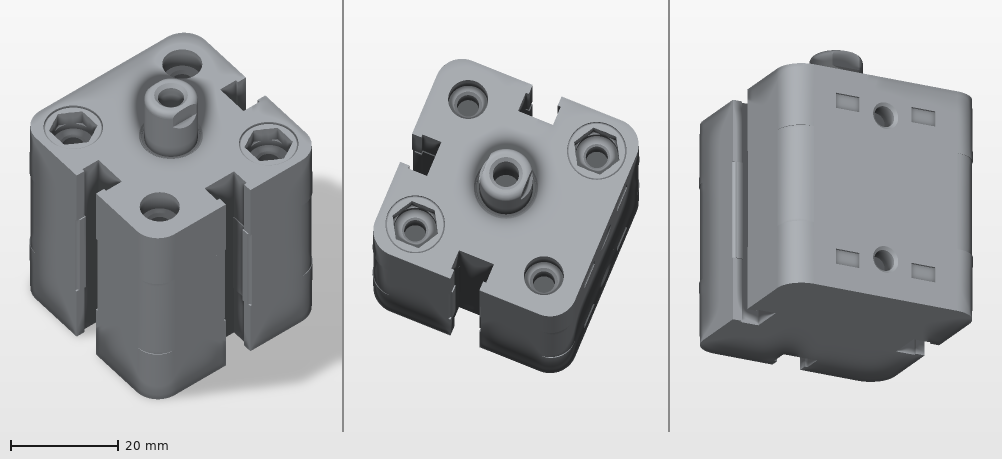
import cadquery as cq
import math


SIDE = 40.3
HALF = SIDE / 2
CORNER = 5.05
CORNER_BULGE = 0.15
CAP_HEIGHT = 12.4
BARREL_HEIGHT = 19.25
TOTAL_HEIGHT = 55.0
JOINT_Z = CAP_HEIGHT + BARREL_HEIGHT
BODY_TOP = JOINT_Z + CAP_HEIGHT

SIDE_SLOTS = (0, 180)
END_SLOT = 90
SLOT_DEPTH = 5.65
CAP_SLOT_MOUTH = 5.85
CAP_SLOT_WIDTH = 7.05
CAP_LIP = 1.85
BARREL_SLOT_MOUTH = 5.4
BARREL_LIP = 2.05
BARREL_SIDE_SLOT_WIDTH = 7.05
BARREL_END_SLOT_WIDTH = 6.6
MOUTH_ROUND = 0.6
FLOOR_ROUND = 0.4

BOLT_OFFSET = 13.0
SCREW_POINTS = [(-BOLT_OFFSET, -BOLT_OFFSET), (BOLT_OFFSET, BOLT_OFFSET)]
MOUNT_POINTS = [(-BOLT_OFFSET, BOLT_OFFSET), (BOLT_OFFSET, -BOLT_OFFSET)]
THREAD_BORE = 4.1
THREAD_DEPTH = 4.4

COLLAR_OUTER = 11.1
COLLAR_INNER = 10.5
COLLAR_SINK = 0.2
HEX_FLATS = 7.9
HEX_DEPTH = 3.3
SOCKET_BORE = 8.05
SOCKET_DEPTH = 4.6
SCREW_THREAD_RIM = 4.9

MOUNT_BORE = 7.5
MOUNT_DEPTH = 4.4
MOUNT_THREAD_RIM = 5.2

PORT_RIM = 5.3
PORT_FROM_END = 7.6
LABEL_FROM_END = 6.4
LABEL_OFFSET = 8.0
LABEL_WIDTH = 5.0
LABEL_HEIGHT = 3.0
LABEL_DEPTH = 0.5

ROD = 10.0
ROD_ROUND = 1.25
ROD_FLATS = 8.25
ROD_FLAT_LENGTH = 3.4
ROD_BORE = 4.9
ROD_BORE_RIM = 6.25
ROD_BORE_DEPTH = 11.0
PASSAGE_RIM = 12.0
PASSAGE_RECESS = 11.4
RECESS_DEPTH = 0.35
WIPER_RIM = 11.1
WIPER_BORE = 10.9
WIPER_DEPTH = 0.15


def section(z, bulge):
    """Rounded square wire at height z whose corners reach out by an extra bulge."""
    straight = HALF - CORNER
    middle = straight + (CORNER + bulge) / math.sqrt(2)
    outline = cq.Workplane("XY").workplane(offset=z).moveTo(-straight, -HALF)
    for sx, sy in ((1, -1), (1, 1), (-1, 1), (-1, -1)):
        on_x_side = (sx * HALF, sy * straight)
        on_y_side = (sx * straight, sy * HALF)
        start, end = (on_y_side, on_x_side) if sx * sy < 0 else (on_x_side, on_y_side)
        outline = outline.lineTo(*start).threePointArc((sx * middle, sy * middle), end)
    return outline.close().val()


def block(z_low, z_high, bulge_low, bulge_high):
    """Ruled block between two rounded square sections."""
    wires = [section(z_low, bulge_low), section(z_high, bulge_high)]
    return cq.Workplane(cq.Solid.makeLoft(wires, True))


def slot_cutter(angle, mouth, width, lip, mouth_round=0.0, floor_round=0.0):
    """Full-height T-slot, drawn on the -Y side and turned about Z by the angle."""
    m = mouth / 2
    w = width / 2
    lip_y = -HALF + lip
    floor_y = -HALF + SLOT_DEPTH
    neck = cq.Workplane("XY").moveTo(-m - mouth_round, -HALF)
    if mouth_round:
        neck = neck.radiusArc((-m, -HALF + mouth_round), mouth_round)
    neck = neck.lineTo(-m, lip_y).lineTo(m, lip_y).lineTo(m, -HALF + mouth_round)
    if mouth_round:
        neck = neck.radiusArc((m + mouth_round, -HALF), mouth_round)
    neck = neck.close().extrude(BODY_TOP)
    room = cq.Workplane("XY").moveTo(0, (lip_y + floor_y) / 2).rect(width, floor_y - lip_y).extrude(BODY_TOP)
    if floor_round:
        room = room.edges("|Z and >Y").fillet(floor_round)
    return neck.union(room).rotate((0, 0, 0), (0, 0, 1), angle)


def cut_cap_slots(cap):
    for angle in (*SIDE_SLOTS, END_SLOT):
        cap = cap.cut(slot_cutter(angle, CAP_SLOT_MOUTH, CAP_SLOT_WIDTH, CAP_LIP))
    return cap


def chamfered_hole(rim, bore, depth):
    """Hole cutter going down from the origin, with a 45 degree chamfer at the rim."""
    chamfer = (rim - bore) / 2
    return (
        cq.Workplane("XZ")
        .polyline([(0, 0), (rim / 2, 0), (bore / 2, -chamfer), (bore / 2, -depth), (0, -depth)])
        .close()
        .revolve(360, (0, 0, 0), (0, 1, 0))
    )


def collar_screw_cutter():
    """Hex socket with threaded hole, and the sunk collar face with its bevelled edge."""
    groove_depth = (COLLAR_OUTER - COLLAR_INNER) / 2
    ring = (
        cq.Workplane("XZ")
        .polyline(
            [
                (0, 0),
                (COLLAR_OUTER / 2, 0),
                (COLLAR_OUTER / 2, -COLLAR_SINK - groove_depth),
                (COLLAR_INNER / 2, -COLLAR_SINK),
                (0, -COLLAR_SINK),
            ]
        )
        .close()
        .revolve(360, (0, 0, 0), (0, 1, 0))
    )
    hex_corners = HEX_FLATS / math.cos(math.pi / 6)
    socket = cq.Workplane("XY").polygon(6, hex_corners).extrude(-HEX_DEPTH)
    bore = cq.Workplane("XY").circle(SOCKET_BORE / 2).extrude(-SOCKET_DEPTH)
    thread = chamfered_hole(SCREW_THREAD_RIM, THREAD_BORE, THREAD_DEPTH)
    return ring.union(socket).union(bore).union(thread.translate((0, 0, -SOCKET_DEPTH)))


def mounting_hole_cutter():
    bore = cq.Workplane("XY").circle(MOUNT_BORE / 2).extrude(-MOUNT_DEPTH)
    thread = chamfered_hole(MOUNT_THREAD_RIM, THREAD_BORE, THREAD_DEPTH)
    return bore.union(thread.translate((0, 0, -MOUNT_DEPTH)))


def cut_port_side(cap, outer_z, inward):
    """Air port and two label recesses; inward is +1 or -1, the direction from outer_z into the cap."""
    port = chamfered_hole(PORT_RIM, THREAD_BORE, THREAD_DEPTH).rotate((0, 0, 0), (0, 1, 0), -90)
    cap = cap.cut(port.translate((-HALF, 0, outer_z + inward * PORT_FROM_END)))
    label_z = outer_z + inward * LABEL_FROM_END
    for y in (-LABEL_OFFSET, LABEL_OFFSET):
        label = cq.Workplane("XY").box(2 * LABEL_DEPTH, LABEL_WIDTH, LABEL_HEIGHT)
        cap = cap.cut(label.translate((-HALF, y, label_z)))
    return cap


def rod_passage_cutter():
    """Rod hole through the front cap, widened at the top by the two chamfered steps of the wiper."""
    rod_hole = cq.Workplane("XY").circle(ROD / 2).extrude(-CAP_HEIGHT)
    recess = chamfered_hole(PASSAGE_RIM, PASSAGE_RECESS, RECESS_DEPTH)
    wiper = chamfered_hole(WIPER_RIM, WIPER_BORE, WIPER_DEPTH).translate((0, 0, -RECESS_DEPTH))
    return recess.union(wiper).union(rod_hole)


def make_front_cap():
    cap = cut_cap_slots(block(JOINT_Z, BODY_TOP, CORNER_BULGE, 0))
    cap = cut_port_side(cap, BODY_TOP, -1)
    for x, y in SCREW_POINTS:
        cap = cap.cut(collar_screw_cutter().translate((x, y, BODY_TOP)))
    for x, y in MOUNT_POINTS:
        cap = cap.cut(mounting_hole_cutter().translate((x, y, BODY_TOP)))
    return cap.cut(rod_passage_cutter().translate((0, 0, BODY_TOP)))


def make_rear_cap():
    cap = cut_cap_slots(block(0, CAP_HEIGHT, 0, CORNER_BULGE))
    return cut_port_side(cap, 0, 1)


def make_barrel():
    barrel = block(CAP_HEIGHT, JOINT_Z, 0, 0)
    for angle in SIDE_SLOTS:
        barrel = barrel.cut(
            slot_cutter(
                angle, BARREL_SLOT_MOUTH, BARREL_SIDE_SLOT_WIDTH, BARREL_LIP, MOUTH_ROUND, FLOOR_ROUND
            )
        )
    return barrel.cut(
        slot_cutter(END_SLOT, BARREL_SLOT_MOUTH, BARREL_END_SLOT_WIDTH, BARREL_LIP, MOUTH_ROUND)
    )


def make_piston_rod():
    """Rod standing on the barrel, with wrench flats and a threaded hole in its end."""
    rod = cq.Workplane("XY").workplane(offset=JOINT_Z).circle(ROD / 2).extrude(TOTAL_HEIGHT - JOINT_Z)
    rod = rod.faces(">Z").edges().fillet(ROD_ROUND)
    flat_low = TOTAL_HEIGHT - ROD_FLAT_LENGTH
    flat_x = ROD_FLATS / 2
    run = ROD / 2 - flat_x
    for side in (-1, 1):
        wedge = (
            cq.Workplane("XZ")
            .polyline(
                [
                    (side * flat_x, TOTAL_HEIGHT),
                    (side * flat_x, flat_low),
                    (side * (flat_x + 2 * run), flat_low - 2 * run),
                    (side * (flat_x + 2 * run), TOTAL_HEIGHT),
                ]
            )
            .close()
            .extrude(ROD / 2, both=True)
        )
        rod = rod.cut(wedge)
    bore = chamfered_hole(ROD_BORE_RIM, ROD_BORE, ROD_BORE_DEPTH)
    return rod.cut(bore.translate((0, 0, TOTAL_HEIGHT)))


front_cap = make_front_cap()
rear_cap = make_rear_cap()
barrel = make_barrel()
piston_rod = make_piston_rod()

result = cq.Compound.makeCompound([front_cap.val(), barrel.val(), rear_cap.val(), piston_rod.val()])